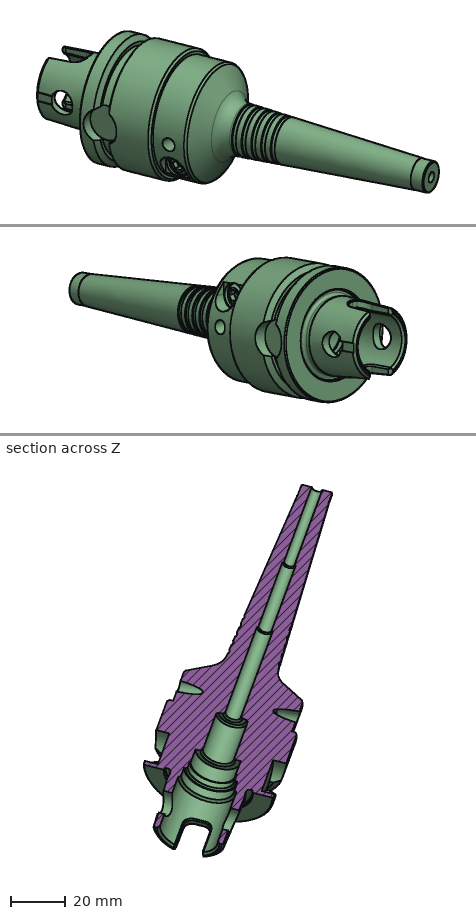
import cadquery as cq
import math


SHANK_LENGTH = 25.0
NOSE_X = 135.0

GAUGE_RADIUS = 15.0
SHANK_TAPER = 0.05
SHANK_CHAMFER = 1.0
UNDERCUT_START_X = -2.2
UNDERCUT_FLANK = 0.4
UNDERCUT_RADIUS = 14.6

BODY_RADIUS = 25.0
EDGE_CHAMFER = 0.5
FACE_RECESS_RADIUS = 17.2
FACE_RECESS_DEPTH = 1.0
FACE_RECESS_CHAMFER = 0.5
ROOT_FILLET = 1.2
GROOVE_START_X = 5.7
GROOVE_FLOOR_START_X = 7.1
GROOVE_FLOOR_END_X = 10.85
GROOVE_END_X = 12.3
GROOVE_RADIUS = 21.2
GROOVE_SHOULDER_RADIUS = 22.6
BODY_END_X = 30.2
BODY_END_CHAMFER = 0.9

COLLAR_RADIUS = 22.9
COLLAR_END_X = 43.3
COLLAR_CHAMFER_LENGTH = 1.0
COLLAR_CHAMFER_DROP = 0.6

SHOULDER_ANGLE = math.radians(60)
NECK_ANGLE = math.radians(3)
BLEND_RADIUS = 7.0
NECK_END_RADIUS = 6.1
NOSE_RADIUS = 6.0
NOSE_LENGTH = 5.3
NOSE_CHAMFER = 0.4

RING_COUNT = 5
RING_START_X = 56.0
RING_PITCH = 4.0
RING_WIDTH = 1.8
RING_DEPTH = 0.3

MOUTH_RADIUS = 11.1
MOUTH_CHAMFER = 0.9
MOUTH_END_X = -1.5
CLAMP_RADIUS = 10.2
CLAMP_END_X = 3.0
SEAT_RADIUS = 9.0
SEAT_CHAMFER = 0.7
SEAT_END_X = 6.0
RELIEF_RADIUS = 8.6
RELIEF_END_X = 12.0
THREAD_RADIUS = 6.0
THREAD_CHAMFER = 0.7
THREAD_END_X = 30.0
FEED_RADIUS = 3.0
FEED_CHAMFER = 0.7
FEED_END_X = 70.0
GUIDE_RADIUS = 2.5
GUIDE_END_X = 100.0
TOOL_RADIUS = 2.0

SLOT_WIDTH = 10.2
SLOT_END_X = -10.6
SLOT_CORNER_RADIUS = 3.9
SLOT_BEVEL = 0.5
SLOT_FLARE_WIDTH = 0.7
SLOT_FLARE_LENGTH = 1.8

CROSS_HOLE_DIAMETER = 9.5
CROSS_HOLE_X = -13.6
KEY_WIDTH = 3.5
KEY_FLAT_Y = 13.4

POCKET_DIAMETER = 14.0
POCKET_X = 8.9
POCKET_FLOOR_Y = 20.0

SCREW_X = 36.8
SCREW_Z = -11.9
SCREW_POCKET_WIDTH = 10.3
SCREW_FLOOR_Y = 16.0
SCREW_BORE_DIAMETER = 9.5
SCREW_BORE_DEPTH = 1.5
SCREW_HEAD_RADIUS = 4.5
SCREW_HEAD_TOP_RADIUS = 3.0
SCREW_HEX_FLATS = 4.0
SCREW_HEX_DEPTH = 2.5

SET_HOLE_DIAMETER = 5.2
SET_HOLE_Z = -1.0
SET_HOLE_DEPTH = 9.0
SET_HOLE_TILT = 10.0
SET_HEX_FLATS = 2.0
SET_HEX_DEPTH = 1.5

EDGE_TOLERANCE = 0.01
HEX_SIDES = 6
HEX_TIP_ANGLE = math.radians(59)
CLEARANCE = 5.0


def shank_radius(x):
    return GAUGE_RADIUS + SHANK_TAPER * x


def neck_radius(x):
    return NECK_END_RADIUS + (NOSE_X - NOSE_LENGTH - x) * math.tan(NECK_ANGLE)


def revolve_about_x(profile):
    return profile.close().revolve(360, (0, 0, 0), (1, 0, 0))


def blend_points():
    """Start, middle and end of the arc tangent to the shoulder cone and the neck cone."""
    cone_x = COLLAR_END_X + COLLAR_CHAMFER_LENGTH
    cone_r = COLLAR_RADIUS - COLLAR_CHAMFER_DROP
    neck_offset = neck_radius(0) + BLEND_RADIUS / math.cos(NECK_ANGLE)
    cone_offset = cone_r + cone_x * math.tan(SHOULDER_ANGLE) + BLEND_RADIUS / math.cos(SHOULDER_ANGLE)
    center_x = (cone_offset - neck_offset) / (math.tan(SHOULDER_ANGLE) - math.tan(NECK_ANGLE))
    center_r = neck_offset - center_x * math.tan(NECK_ANGLE)
    angles = (SHOULDER_ANGLE, (SHOULDER_ANGLE + NECK_ANGLE) / 2, NECK_ANGLE)
    return [
        (center_x - BLEND_RADIUS * math.sin(a), center_r - BLEND_RADIUS * math.cos(a))
        for a in angles
    ]


def turned_body():
    blend_start, blend_middle, blend_end = blend_points()
    end_radius = shank_radius(-SHANK_LENGTH)
    nose_start_x = NOSE_X - NOSE_LENGTH
    profile = (
        cq.Workplane("XY")
        .moveTo(-SHANK_LENGTH, 0)
        .lineTo(-SHANK_LENGTH, end_radius - SHANK_CHAMFER)
        .lineTo(-SHANK_LENGTH + SHANK_CHAMFER, end_radius)
        .lineTo(UNDERCUT_START_X, shank_radius(UNDERCUT_START_X))
        .lineTo(UNDERCUT_START_X + UNDERCUT_FLANK, UNDERCUT_RADIUS)
        .lineTo(FACE_RECESS_DEPTH - ROOT_FILLET, UNDERCUT_RADIUS)
        .radiusArc((FACE_RECESS_DEPTH, UNDERCUT_RADIUS + ROOT_FILLET), -ROOT_FILLET)
        .lineTo(FACE_RECESS_DEPTH, FACE_RECESS_RADIUS - FACE_RECESS_CHAMFER)
        .lineTo(FACE_RECESS_CHAMFER, FACE_RECESS_RADIUS - FACE_RECESS_CHAMFER)
        .lineTo(0, FACE_RECESS_RADIUS)
        .lineTo(0, BODY_RADIUS - EDGE_CHAMFER)
        .lineTo(EDGE_CHAMFER, BODY_RADIUS)
        .lineTo(GROOVE_START_X, BODY_RADIUS)
        .lineTo(GROOVE_FLOOR_START_X, GROOVE_SHOULDER_RADIUS)
        .lineTo(GROOVE_FLOOR_START_X, GROOVE_RADIUS)
        .lineTo(GROOVE_FLOOR_END_X, GROOVE_RADIUS)
        .lineTo(GROOVE_FLOOR_END_X, GROOVE_SHOULDER_RADIUS)
        .lineTo(GROOVE_END_X, BODY_RADIUS)
        .lineTo(BODY_END_X - BODY_END_CHAMFER, BODY_RADIUS)
        .lineTo(BODY_END_X, BODY_RADIUS - BODY_END_CHAMFER)
        .lineTo(BODY_END_X, COLLAR_RADIUS)
        .lineTo(COLLAR_END_X, COLLAR_RADIUS)
        .lineTo(COLLAR_END_X + COLLAR_CHAMFER_LENGTH, COLLAR_RADIUS - COLLAR_CHAMFER_DROP)
        .lineTo(*blend_start)
        .threePointArc(blend_middle, blend_end)
        .lineTo(nose_start_x, NECK_END_RADIUS)
        .lineTo(nose_start_x, NOSE_RADIUS)
        .lineTo(NOSE_X - NOSE_CHAMFER, NOSE_RADIUS)
        .lineTo(NOSE_X, NOSE_RADIUS - NOSE_CHAMFER)
        .lineTo(NOSE_X, 0)
    )
    return revolve_about_x(profile)


def neck_ring(start_x):
    """Shallow ring groove with 45 degree flanks following the neck cone."""
    end_x = start_x + RING_WIDTH
    profile = (
        cq.Workplane("XY")
        .moveTo(start_x, neck_radius(start_x))
        .lineTo(start_x + RING_DEPTH, neck_radius(start_x) - RING_DEPTH)
        .lineTo(end_x - RING_DEPTH, neck_radius(end_x) - RING_DEPTH)
        .lineTo(end_x, neck_radius(end_x))
        .lineTo(end_x, neck_radius(end_x) + CLEARANCE)
        .lineTo(start_x, neck_radius(start_x) + CLEARANCE)
    )
    return revolve_about_x(profile)


def stepped_bore():
    profile = (
        cq.Workplane("XY")
        .moveTo(-SHANK_LENGTH, 0)
        .lineTo(-SHANK_LENGTH, MOUTH_RADIUS + MOUTH_CHAMFER)
        .lineTo(-SHANK_LENGTH + MOUTH_CHAMFER, MOUTH_RADIUS)
        .lineTo(MOUTH_END_X, MOUTH_RADIUS)
        .lineTo(MOUTH_END_X + MOUTH_RADIUS - CLAMP_RADIUS, CLAMP_RADIUS)
        .lineTo(CLAMP_END_X, CLAMP_RADIUS)
        .lineTo(CLAMP_END_X, SEAT_RADIUS + SEAT_CHAMFER)
        .lineTo(CLAMP_END_X + SEAT_CHAMFER, SEAT_RADIUS)
        .lineTo(SEAT_END_X, SEAT_RADIUS)
        .lineTo(SEAT_END_X, RELIEF_RADIUS)
        .lineTo(RELIEF_END_X, RELIEF_RADIUS)
        .lineTo(RELIEF_END_X, THREAD_RADIUS + THREAD_CHAMFER)
        .lineTo(RELIEF_END_X + THREAD_CHAMFER, THREAD_RADIUS)
        .lineTo(THREAD_END_X - THREAD_CHAMFER, THREAD_RADIUS)
        .lineTo(THREAD_END_X, THREAD_RADIUS - THREAD_CHAMFER)
        .lineTo(THREAD_END_X, FEED_RADIUS + FEED_CHAMFER)
        .lineTo(THREAD_END_X + FEED_CHAMFER, FEED_RADIUS)
        .lineTo(FEED_END_X, FEED_RADIUS)
        .lineTo(FEED_END_X + FEED_RADIUS - GUIDE_RADIUS, GUIDE_RADIUS)
        .lineTo(GUIDE_END_X, GUIDE_RADIUS)
        .lineTo(GUIDE_END_X + GUIDE_RADIUS - TOOL_RADIUS, TOOL_RADIUS)
        .lineTo(NOSE_X, TOOL_RADIUS)
        .lineTo(NOSE_X, 0)
    )
    return revolve_about_x(profile)


def drive_slot():
    """Open slot through both shank walls with rounded inner corners."""
    length = SHANK_LENGTH + SLOT_END_X + CLEARANCE
    return (
        cq.Workplane("XY")
        .center(SLOT_END_X - length / 2, 0)
        .rect(length, SLOT_WIDTH)
        .extrude(GAUGE_RADIUS, both=True)
        .edges("|Z and >X")
        .fillet(SLOT_CORNER_RADIUS)
    )


def slot_mouth_flare():
    """Wedge that chamfers the slot walls where they reach the open end."""
    half_width = SLOT_WIDTH / 2
    return (
        cq.Workplane("XY")
        .moveTo(-SHANK_LENGTH, half_width + SLOT_FLARE_WIDTH)
        .lineTo(-SHANK_LENGTH, -half_width - SLOT_FLARE_WIDTH)
        .lineTo(-SHANK_LENGTH + SLOT_FLARE_LENGTH, -half_width)
        .lineTo(-SHANK_LENGTH + SLOT_FLARE_LENGTH, half_width)
        .close()
        .extrude(GAUGE_RADIUS, both=True)
    )


def is_slot_rim(edge):
    """True for slot edges that run along the outer taper or the bore."""
    box = edge.BoundingBox()
    in_slot_width = max(-box.ymin, box.ymax) < SLOT_WIDTH / 2 + EDGE_TOLERANCE
    in_slot_length = -SHANK_LENGTH + EDGE_TOLERANCE < box.xmin and box.xmax < SLOT_END_X + EDGE_TOLERANCE
    radii = [math.hypot(vertex.Y, vertex.Z) for vertex in edge.Vertices()]
    wall_thickness = shank_radius(-SHANK_LENGTH) - MOUTH_RADIUS
    crosses_wall = max(radii) - min(radii) > wall_thickness / 2
    return in_slot_width and in_slot_length and not crosses_wall


def front_plane(x, z, depth_y):
    """Workplane at y = -depth_y, facing -Y and centred on (x, z)."""
    return cq.Workplane("XZ", origin=(x, -depth_y, z))


def shank_cross_hole():
    return (
        cq.Workplane("XZ")
        .center(CROSS_HOLE_X, 0)
        .circle(CROSS_HOLE_DIAMETER / 2)
        .extrude(BODY_RADIUS, both=True)
    )


def key_flat():
    """Narrow flat from the open end of the shank to the cross hole."""
    length = CROSS_HOLE_X + SHANK_LENGTH
    return (
        front_plane(CROSS_HOLE_X - length / 2, 0, KEY_FLAT_Y)
        .rect(length, KEY_WIDTH)
        .extrude(CLEARANCE)
    )


def hexagon_socket(mouth, flats, depth):
    """Hexagon socket sunk below the given workplane, ending in a drill point."""
    tip_depth = flats / 2 / math.tan(HEX_TIP_ANGLE)
    floor = mouth.workplane(offset=-depth)
    hexagon = floor.polygon(HEX_SIDES, flats / math.cos(math.pi / HEX_SIDES)).extrude(depth)
    tip = cq.Solid.makeCone(flats / 2, 0, tip_depth, pnt=floor.plane.origin, dir=-floor.plane.zDir)
    return hexagon.union(cq.Workplane(tip))


def groove_pocket():
    return (
        front_plane(POCKET_X, 0, POCKET_FLOOR_Y)
        .circle(POCKET_DIAMETER / 2)
        .extrude(BODY_RADIUS)
    )


def screw_pocket():
    """Round-topped pocket open towards -Z, holding a screw head with a hexagon socket."""
    bore_floor_y = SCREW_FLOOR_Y - SCREW_BORE_DEPTH
    floor_plane = front_plane(SCREW_X, SCREW_Z, SCREW_FLOOR_Y)
    round_top = floor_plane.circle(SCREW_POCKET_WIDTH / 2).extrude(COLLAR_RADIUS)
    open_side = (
        floor_plane.center(0, -COLLAR_RADIUS / 2)
        .rect(SCREW_POCKET_WIDTH, COLLAR_RADIUS)
        .extrude(COLLAR_RADIUS)
    )
    bore_floor = front_plane(SCREW_X, SCREW_Z, bore_floor_y)
    bore = bore_floor.circle(SCREW_BORE_DIAMETER / 2).extrude(SCREW_BORE_DEPTH)
    head = (
        bore_floor.circle(SCREW_HEAD_RADIUS)
        .workplane(offset=SCREW_BORE_DEPTH)
        .circle(SCREW_HEAD_TOP_RADIUS)
        .loft()
    )
    socket = hexagon_socket(floor_plane, SCREW_HEX_FLATS, SCREW_HEX_DEPTH)
    return round_top.union(open_side).union(bore.cut(head)).union(socket)


def set_screw_hole():
    """Blind hole leaning towards -Z with depth, with a hexagon socket in its floor."""
    mouth = front_plane(SCREW_X, SET_HOLE_Z, COLLAR_RADIUS)
    hole_floor = mouth.workplane(offset=-SET_HOLE_DEPTH)
    hole = hole_floor.circle(SET_HOLE_DIAMETER / 2).extrude(SET_HOLE_DEPTH + CLEARANCE)
    socket = hexagon_socket(hole_floor, SET_HEX_FLATS, SET_HEX_DEPTH)
    pivot = (SCREW_X, -COLLAR_RADIUS, SET_HOLE_Z)
    pivot_end = (SCREW_X + 1, -COLLAR_RADIUS, SET_HOLE_Z)
    return hole.union(socket).rotate(pivot, pivot_end, -SET_HOLE_TILT)


holder = turned_body().cut(stepped_bore()).cut(drive_slot())
holder = holder.edges().filter(is_slot_rim).chamfer(SLOT_BEVEL)
for index in range(RING_COUNT):
    holder = holder.cut(neck_ring(RING_START_X + index * RING_PITCH))
holder = holder.cut(slot_mouth_flare()).cut(shank_cross_hole())

side_cutters = (key_flat(), groove_pocket(), screw_pocket(), set_screw_hole())
for turn in (0, 180):
    for cutter in side_cutters:
        holder = holder.cut(cutter.rotate((0, 0, 0), (1, 0, 0), turn))

result = holder